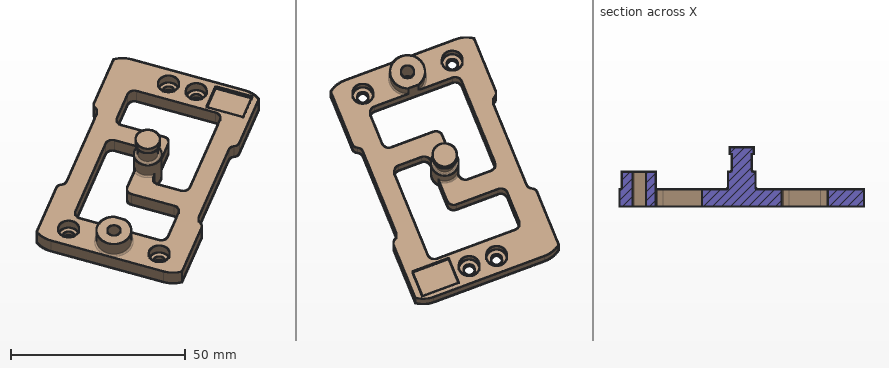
import cadquery as cq
import math

length = 70.0
width = 44.0
thickness = 5.0
corner_run = 5.0
corner_drop = 1.7

waist_depth = 2.0
shoulder_start = 13.1
shoulder_length = 3.3

window_half_width = 14.0
window_half_length = 24.6
web_half_width = 2.95
arm_inner = 5.5
arm_outer = arm_inner + 2 * web_half_width
window_radius = 2.0

pin_base_diameter = 8.0
pin_neck_diameter = 5.8
pin_head_diameter = 7.0
pin_top = 17.0
pin_head_height = 2.0

boss_diameter = 10.0
boss_bore = 3.8
boss_y = -29.3

shoulder_top = 10.0
root_fillet = 0.5

screw_diameter = 3.2
counterbore_diameter = 6.0
counterbore_depth = 3.2
rear_hole_x = 4.2
rear_hole_y = 30.0
front_hole_x = 13.7
front_hole_y = boss_y

label_width = 11.1
label_height = 8.0
label_depth = 1.0
label_x = 14.35
label_y = 29.6


def make_plate():
    """Plate outline: a quarter of it is drawn, then mirrored about both centre lines."""
    half_width = width / 2
    half_length = length / 2
    waist_x = half_width - waist_depth
    shoulder_end = shoulder_start + shoulder_length
    shoulder_mid = (half_width - waist_depth / 2, shoulder_start + shoulder_length / 2)
    corner_radius = (corner_run**2 + corner_drop**2) / (2 * corner_drop)
    half_sweep = math.asin(corner_run / corner_radius) / 2
    corner_mid = (
        half_width - corner_run + corner_radius * math.sin(half_sweep),
        half_length - corner_radius * (1 - math.cos(half_sweep)),
    )
    quarter = (
        cq.Workplane("XY")
        .lineTo(waist_x, 0)
        .lineTo(waist_x, shoulder_start)
        .tangentArcPoint(shoulder_mid, relative=False)
        .tangentArcPoint((half_width, shoulder_end), relative=False)
        .lineTo(half_width, half_length - corner_drop)
        .threePointArc(corner_mid, (half_width - corner_run, half_length))
        .lineTo(0, half_length)
        .close()
        .extrude(thickness)
    )
    half = quarter.union(quarter.mirror("YZ"))
    return half.union(half.mirror("XZ")).clean()


def make_window():
    """L-shaped window on the +Y side, tall enough to trim the boss; the other is its half-turn copy."""
    outline = [
        (-window_half_width, window_half_length),
        (window_half_width, window_half_length),
        (window_half_width, -arm_inner),
        (web_half_width, -arm_inner),
        (web_half_width, arm_outer),
        (-window_half_width, arm_outer),
    ]
    window = cq.Workplane("XY").polyline(outline).close().extrude(shoulder_top)
    return window.edges("|Z").fillet(window_radius)


def cylinder(diameter, bottom, top, x=0, y=0):
    return cq.Workplane("XY", origin=(x, y, bottom)).circle(diameter / 2).extrude(top - bottom)


def root_flare(diameter, base, y=0):
    """Concave ring that blends a round post into the flat face at height `base`."""
    radius = diameter / 2
    middle = root_fillet * (1 - math.sqrt(0.5))
    return (
        cq.Workplane("XZ")
        .moveTo(0, base)
        .lineTo(radius + root_fillet, base)
        .threePointArc((radius + middle, base + middle), (radius, base + root_fillet))
        .lineTo(0, base + root_fillet)
        .close()
        .revolve(360, (0, 0, 0), (0, 1, 0))
        .translate((0, y, 0))
    )


def make_pin():
    head_bottom = pin_top - pin_head_height
    pin = cylinder(pin_base_diameter, 0, shoulder_top)
    pin = pin.union(cylinder(pin_neck_diameter, shoulder_top, head_bottom))
    pin = pin.union(root_flare(pin_neck_diameter, shoulder_top))
    return pin.union(cylinder(pin_head_diameter, head_bottom, pin_top))


def screw_hole(x, y):
    through = cylinder(screw_diameter, 0, thickness, x, y)
    return through.union(cylinder(counterbore_diameter, thickness - counterbore_depth, thickness, x, y))


result = make_plate()
result = result.union(cylinder(boss_diameter, thickness, shoulder_top, y=boss_y))
result = result.union(root_flare(boss_diameter, thickness, boss_y))
result = result.union(root_flare(pin_base_diameter, thickness))
window = make_window()
result = result.cut(window).cut(window.rotate((0, 0, 0), (0, 0, 1), 180))

result = result.union(make_pin())

result = result.cut(cylinder(boss_bore, 0, shoulder_top, y=boss_y))
for side in (-1, 1):
    result = result.cut(screw_hole(side * rear_hole_x, rear_hole_y))
    result = result.cut(screw_hole(side * front_hole_x, front_hole_y))

label_recess = cq.Workplane("XY", origin=(label_x, label_y, thickness)).rect(label_width, label_height)
result = result.cut(label_recess.extrude(-label_depth))